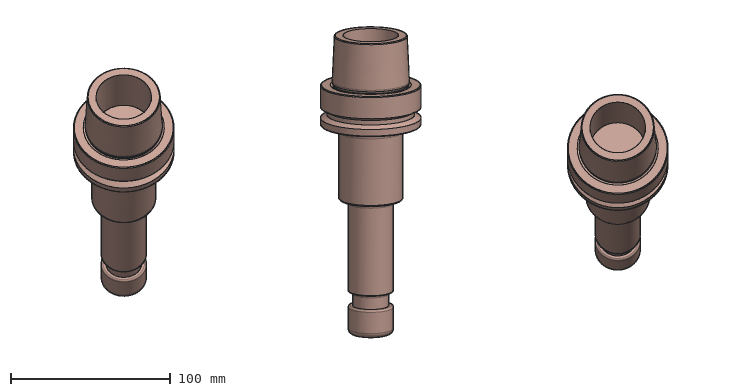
import cadquery as cq
import math

total_length = 192.0

shank_top_radius = 22.8
shank_base_radius = 24.2
shank_base_z = 162.5
shank_undercut_z = 161.5
shank_top_chamfer = 0.5
bore_radius = 17.3
bore_depth = 31.9

relief_outer_radius = 25.3
relief_floor_radius = 23.6
relief_depth = 1.0

flange_radius = 31.5
flange_top_z = 160.1
flange_bottom_z = 134.2
flange_edge_chamfer = 0.5
groove_floor_radius = 27.5
groove_top_z = 146.0
groove_floor_top_z = 143.8
groove_floor_bottom_z = 141.0
groove_bottom_z = 139.0

collar_radius = 20.2
collar_bottom_z = 86.4
collar_edge_chamfer = 1.0
collar_fillet = 4.0
stem_radius = 14.2
stem_bottom_z = 27.3
stem_edge_chamfer = 0.5
stem_fillet = 2.3

neck_radius = 11.3
neck_fillet = 1.5
head_top_z = 18.2
head_top_fillet = 1.2
head_bottom_fillet = 3.5


def add_fillet_below(profile, radius, shoulder_z, fillet):
    """Run outward along a concave fillet between a cylinder and the shoulder above it."""
    inset = fillet * (1 - math.sqrt(0.5))
    return (
        profile.lineTo(radius, shoulder_z - fillet)
        .threePointArc((radius + inset, shoulder_z - inset), (radius + fillet, shoulder_z))
    )


def add_chamfered_shoulder(profile, radius, shoulder_z, chamfer):
    """Run outward along a downward-facing shoulder and bevel its rim with a chamfer."""
    return profile.lineTo(radius - chamfer, shoulder_z).lineTo(radius, shoulder_z + chamfer)


def make_head_profile():
    """Start the half section with the rounded head, from the axis to the neck."""
    inset = head_bottom_fillet * (1 - math.sqrt(0.5))
    top_inset = head_top_fillet * (1 - math.sqrt(0.5))
    return (
        cq.Workplane("XZ")
        .moveTo(0, 0)
        .lineTo(stem_radius - head_bottom_fillet, 0)
        .threePointArc((stem_radius - inset, inset), (stem_radius, head_bottom_fillet))
        .lineTo(stem_radius, head_top_z - head_top_fillet)
        .threePointArc(
            (stem_radius - top_inset, head_top_z - top_inset),
            (stem_radius - head_top_fillet, head_top_z),
        )
        .lineTo(neck_radius, head_top_z)
    )


def add_stem(profile):
    """Add the neck, stem and collar, up to the underside of the flange."""
    profile = add_fillet_below(profile, neck_radius, stem_bottom_z, neck_fillet)
    profile = add_chamfered_shoulder(profile, stem_radius, stem_bottom_z, stem_edge_chamfer)
    profile = add_fillet_below(profile, stem_radius, collar_bottom_z, stem_fillet)
    profile = add_chamfered_shoulder(profile, collar_radius, collar_bottom_z, collar_edge_chamfer)
    return add_fillet_below(profile, collar_radius, flange_bottom_z, collar_fillet)


def add_flange(profile):
    """Add the grooved flange and the relief in its upper face."""
    profile = add_chamfered_shoulder(profile, flange_radius, flange_bottom_z, flange_edge_chamfer)
    return (
        profile.lineTo(flange_radius, groove_bottom_z)
        .lineTo(groove_floor_radius, groove_floor_bottom_z)
        .lineTo(groove_floor_radius, groove_floor_top_z)
        .lineTo(flange_radius, groove_top_z)
        .lineTo(flange_radius, flange_top_z - flange_edge_chamfer)
        .lineTo(flange_radius - flange_edge_chamfer, flange_top_z)
        .lineTo(relief_outer_radius, flange_top_z)
        .lineTo(relief_floor_radius, flange_top_z - relief_depth)
    )


def add_shank(profile):
    """Add the tapered shank and its blind bore, then close the section on the axis."""
    bore_floor_z = total_length - bore_depth
    return (
        profile.lineTo(relief_floor_radius, flange_top_z)
        .lineTo(shank_base_radius, shank_undercut_z)
        .lineTo(shank_base_radius, shank_base_z)
        .lineTo(shank_top_radius, total_length - shank_top_chamfer)
        .lineTo(shank_top_radius - shank_top_chamfer, total_length)
        .lineTo(bore_radius, total_length)
        .lineTo(bore_radius, bore_floor_z)
        .lineTo(0, bore_floor_z)
        .close()
    )


half_section = add_shank(add_flange(add_stem(make_head_profile())))
result = half_section.revolve(360, (0, 0, 0), (0, 1, 0))